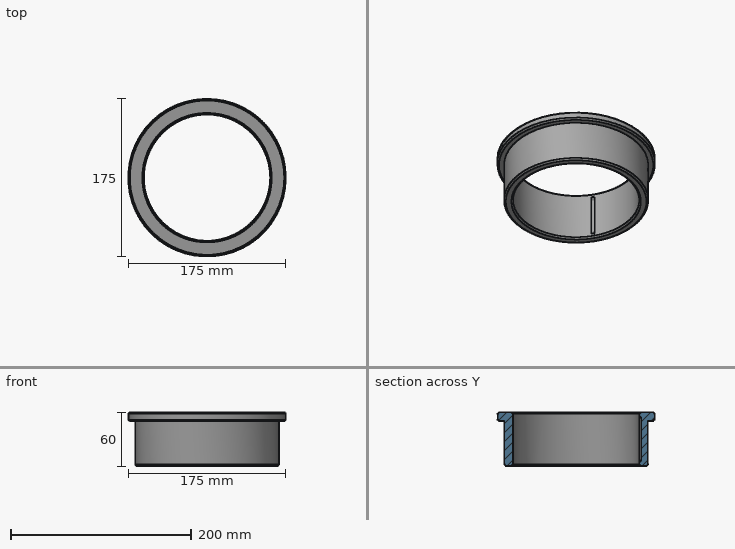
import cadquery as cq

flange_diameter = 175.0
body_diameter = 160.0
bore_diameter = 140.0
total_height = 60.0
flange_height = 10.2
chamfer = 2.0

groove_width = 4.0
groove_end_margin = 4.9


def make_ring():
    body = cq.Workplane("XY").circle(body_diameter / 2).extrude(total_height)
    body = body.faces("<Z").edges().chamfer(chamfer)
    flange = (
        cq.Workplane("XY")
        .workplane(offset=total_height - flange_height)
        .circle(flange_diameter / 2)
        .extrude(flange_height)
        .edges()
        .chamfer(chamfer)
    )
    bore = cq.Workplane("XY").circle(bore_diameter / 2).extrude(total_height)
    return body.union(flange).cut(bore)


def chamfer_bore(ring):
    bore_edges = cq.selectors.RadiusNthSelector(0)
    ring = ring.faces(">Z").edges(bore_edges).chamfer(chamfer)
    return ring.faces("<Z").edges(bore_edges).chamfer(chamfer)


def make_groove_cutter():
    end_radius = groove_width / 2
    lower_end = groove_end_margin + end_radius
    upper_end = total_height - lower_end
    groove_axis = cq.Workplane("XY").workplane(offset=lower_end).center(bore_diameter / 2, 0)
    cutter = groove_axis.circle(end_radius).extrude(upper_end - lower_end)
    for end_height in (lower_end, upper_end):
        ball = cq.Workplane("XY").sphere(end_radius)
        cutter = cutter.union(ball.translate((bore_diameter / 2, 0, end_height)))
    return cutter


result = chamfer_bore(make_ring()).cut(make_groove_cutter())